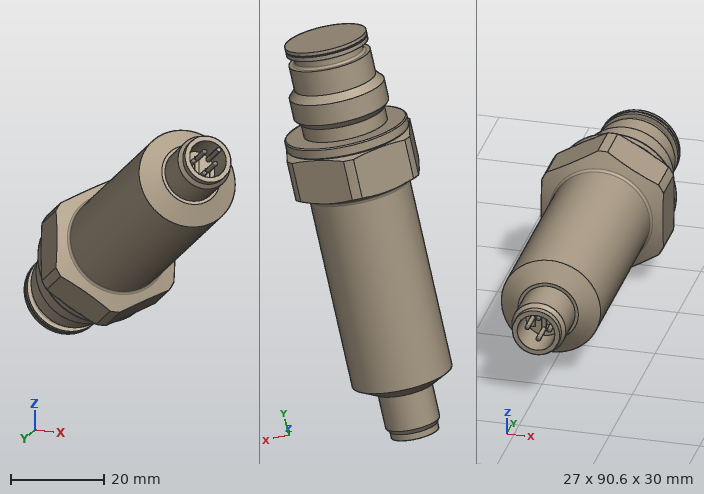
import cadquery as cq
import math


plug_diameter = 17.9
snap_groove_diameter = 17.3
snap_groove_start = 0.8
snap_groove_end = 1.1
seal_groove_diameter = 15.0
seal_groove_start = 2.0
seal_groove_end = 4.35
seal_groove_fillet = 0.5

collar_diameter = 20.9
collar_start = 9.9
collar_full_start = 11.5
collar_full_end = 16.1
collar_end = 17.5
neck_diameter = 18.4

flange_diameter = 26.9
flange_start = 20.5
flange_end = 22.9
flange_chamfer = 0.3

hex_across_flats = 27.0
hex_corner_diameter = 30.0
hex_full_start = 23.5
hex_full_end = 32.3
hex_cone_angle = 23
hex_root_fillet = 0.7

body_diameter = 22.0
body_end = 77.55
shoulder_end = 80.0
shoulder_end_diameter = 13.4

connector_diameter = 12.0
connector_end = 88.15
sleeve_diameter = 10.5
sleeve_start = 89.15
sleeve_end = 90.6
bore_diameter = 8.3
bore_depth = 7.25
bore_floor = sleeve_end - bore_depth

key_diameter = 1.1
key_radial_offset = 3.8
key_angle = 45
key_setback = 0.45

pin_diameter = 1.0
pin_tip_fillet = 0.3
pin_tip_station = 88.8
pin_offset = 2.45
pin_places = [(pin_offset, 0), (0, pin_offset), (-pin_offset, 0), (0, -pin_offset)]
bar_width = 1.0
bar_height = 0.4
side_bar_bottom = -2.2


def turned(profile):
    """Revolve (diameter, station) points around the Y axis."""
    points = [(diameter / 2, -station) for diameter, station in profile]
    return cq.Workplane("XY").polyline(points).close().revolve(360, (0, 0), (0, 1))


def plane_at(station):
    """Cross-section plane at a station; extrusions run towards the connector end."""
    return cq.Workplane("XZ", origin=(0, -station, 0))


def rod(diameter, x, z, start, end):
    """Cylinder along Y between two stations."""
    return plane_at(start).center(x, z).circle(diameter / 2).extrude(end - start)


def circle_at(station, diameter):
    """Selector for the round edge of a given diameter at a station."""
    slack = 0.01
    reach = diameter / 2 + slack
    return cq.selectors.BoxSelector(
        (-reach, -station - slack, -reach), (reach, -station + slack, reach), boundingbox=True
    )


def cone_length(large_diameter, small_diameter):
    """Axial length of the cone behind the hexagon between two diameters."""
    return (large_diameter - small_diameter) / 2 * math.tan(math.radians(hex_cone_angle))


def plug_and_flange():
    turning = turned([
        (0, 0),
        (plug_diameter, 0),
        (plug_diameter, snap_groove_start),
        (snap_groove_diameter, snap_groove_start),
        (snap_groove_diameter, snap_groove_end),
        (plug_diameter, snap_groove_end),
        (plug_diameter, seal_groove_start),
        (seal_groove_diameter, seal_groove_start),
        (seal_groove_diameter, seal_groove_end),
        (plug_diameter, seal_groove_end),
        (plug_diameter, collar_start),
        (collar_diameter, collar_full_start),
        (collar_diameter, collar_full_end),
        (neck_diameter, collar_end),
        (neck_diameter, flange_start),
        (flange_diameter - 2 * flange_chamfer, flange_start),
        (flange_diameter, flange_start + flange_chamfer),
        (flange_diameter, flange_end - flange_chamfer),
        (flange_diameter - 2 * flange_chamfer, flange_end),
        (0, flange_end),
    ])
    for station in (seal_groove_start, seal_groove_end):
        turning = turning.edges(circle_at(station, seal_groove_diameter)).fillet(seal_groove_fillet)
    return turning


def hexagon_and_housing():
    hex_end = hex_full_end + cone_length(hex_corner_diameter, body_diameter)
    envelope = turned([
        (0, flange_end),
        (flange_diameter - 2 * flange_chamfer, flange_end),
        (hex_corner_diameter, hex_full_start),
        (hex_corner_diameter, hex_full_end),
        (body_diameter, hex_end),
        (body_diameter, body_end),
        (shoulder_end_diameter, shoulder_end),
        (0, shoulder_end),
    ])
    envelope = envelope.edges(circle_at(hex_end, body_diameter)).fillet(hex_root_fillet)
    across_corners = hex_across_flats / math.cos(math.pi / 6)
    prism = (
        plane_at(flange_end)
        .transformed(rotate=(0, 0, 30))
        .polygon(6, across_corners)
        .extrude(shoulder_end - flange_end)
    )
    return envelope.intersect(prism)


def connector():
    shell = turned([
        (0, shoulder_end),
        (connector_diameter, shoulder_end),
        (connector_diameter, connector_end),
        (sleeve_diameter, sleeve_start),
        (sleeve_diameter, sleeve_end),
        (0, sleeve_end),
    ])
    return shell.cut(rod(bore_diameter, 0, 0, bore_floor, sleeve_end))


def key():
    angle = math.radians(key_angle)
    x = key_radial_offset * math.cos(angle)
    z = key_radial_offset * math.sin(angle)
    return rod(key_diameter, x, z, bore_floor, sleeve_end - key_setback)


def bar(x, bottom, top):
    return (
        plane_at(bore_floor)
        .center(x, (bottom + top) / 2)
        .rect(bar_width, top - bottom)
        .extrude(bar_height)
    )


def contacts():
    bar_overhang = bar_width / 2
    reach = pin_offset + bar_overhang
    group = bar(0, -reach, reach)
    for x in (-pin_offset, pin_offset):
        group = group.union(bar(x, side_bar_bottom, bar_overhang))
    for x, z in pin_places:
        pin = rod(pin_diameter, x, z, bore_floor, pin_tip_station)
        group = group.union(pin.faces("<Y").edges().fillet(pin_tip_fillet))
    return group


result = (
    plug_and_flange()
    .union(hexagon_and_housing())
    .union(connector())
    .union(key())
    .union(contacts())
)